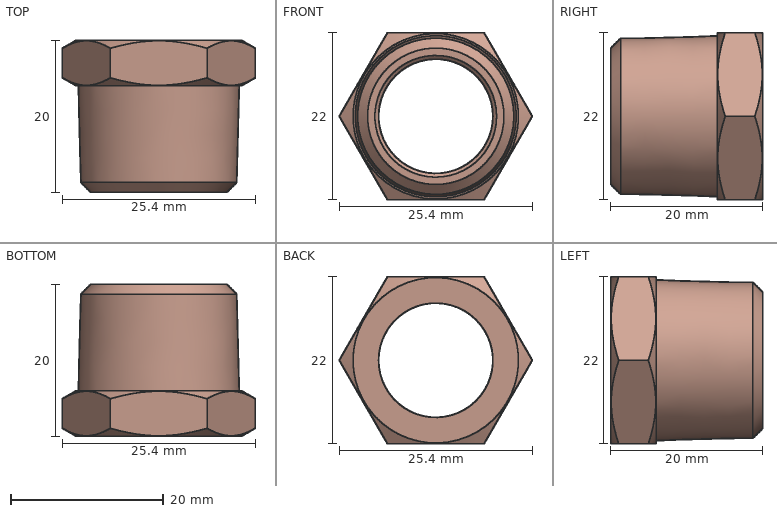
import cadquery as cq
import math

across_corners = 25.4
total_length = 20.0
hex_length = 6.0
hex_face_diameter = 21.75
hex_chamfer_angle = 30.0
shank_root_diameter = 21.18
shank_tip_diameter = 20.52
end_chamfer = 1.3
bore_diameter = 14.99
bore_chamfer = 0.5

hex_start = total_length - hex_length
corner_radius = across_corners / 2
hex_face_radius = hex_face_diameter / 2
hex_chamfer_length = (corner_radius - hex_face_radius) * math.tan(math.radians(hex_chamfer_angle))
shank_tip_radius = shank_tip_diameter / 2
bore_radius = bore_diameter / 2


def revolve_about_y(profile):
    """Revolve a closed (radius, y) profile about the fitting axis."""
    return cq.Workplane("XY").polyline(profile).close().revolve(360, (0, 0, 0), (0, 1, 0))


def make_hex():
    """Hexagon with corners on X, its corners chamfered conically at both faces."""
    prism = (
        cq.Workplane("XZ", origin=(0, total_length, 0))
        .polygon(6, across_corners)
        .extrude(hex_length)
    )
    chamfer_envelope = revolve_about_y([
        (0, hex_start),
        (hex_face_radius, hex_start),
        (corner_radius, hex_start + hex_chamfer_length),
        (corner_radius, total_length - hex_chamfer_length),
        (hex_face_radius, total_length),
        (0, total_length),
    ])
    return prism.intersect(chamfer_envelope)


def make_shank():
    """Tapered shank with a chamfered free end."""
    return revolve_about_y([
        (0, 0),
        (shank_tip_radius - end_chamfer, 0),
        (shank_tip_radius, end_chamfer),
        (shank_root_diameter / 2, hex_start),
        (0, hex_start),
    ])


def make_bore():
    """Through bore, countersunk at the shank end."""
    return revolve_about_y([
        (0, 0),
        (bore_radius + bore_chamfer, 0),
        (bore_radius, bore_chamfer),
        (bore_radius, total_length),
        (0, total_length),
    ])


result = make_hex().union(make_shank()).cut(make_bore())